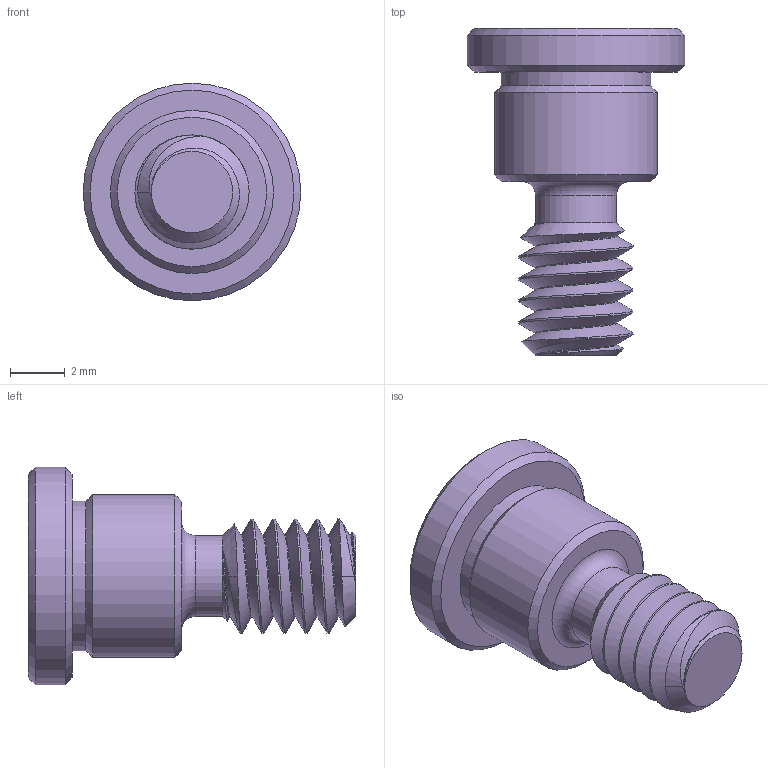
import cadquery as cq
import math


head_radius = 7.94 / 2
head_height = 1.59

edge_chamfer = 0.25
shoulder_radius = 5.953 / 2
undercut_radius = shoulder_radius - edge_chamfer
undercut_length = 0.5
shoulder_end = 4.0

neck_radius = 2.96 / 2
neck_fillet = 0.5
neck_length = 1.5

thread_radius = 4.166 / 2
thread_pitch = 25.4 / 32
thread_half_angle = math.radians(30)
root_clearance = 0.01
root_half_width = 0.02
root_radius = neck_radius + root_clearance
screw_length = 6.35
thread_chamfer = thread_radius - neck_radius
thread_start = shoulder_end + neck_length
thread_end = shoulder_end + screw_length

groove_lead_in = 1.18
groove_start = thread_end + groove_lead_in
groove_turns = 8
groove_overshoot = 0.06


def make_blank():
    """Turned body: head, undercut, shoulder, neck and unthreaded tip."""
    seam_angle = 180
    return (
        cq.Workplane("XY")
        .moveTo(0, head_height)
        .lineTo(head_radius - edge_chamfer, head_height)
        .lineTo(head_radius, head_height - edge_chamfer)
        .lineTo(head_radius, edge_chamfer)
        .lineTo(head_radius - edge_chamfer, 0)
        .lineTo(undercut_radius, 0)
        .lineTo(undercut_radius, -undercut_length)
        .lineTo(shoulder_radius, -undercut_length - edge_chamfer)
        .lineTo(shoulder_radius, -shoulder_end + edge_chamfer)
        .lineTo(shoulder_radius - edge_chamfer, -shoulder_end)
        .lineTo(neck_radius + neck_fillet, -shoulder_end)
        .radiusArc((neck_radius, -shoulder_end - neck_fillet), -neck_fillet)
        .lineTo(neck_radius, -thread_start)
        .lineTo(thread_radius, -thread_start - thread_chamfer)
        .lineTo(thread_radius, -thread_end + thread_chamfer)
        .lineTo(thread_radius - thread_chamfer, -thread_end)
        .lineTo(0, -thread_end)
        .close()
        .revolve(360, (0, 0, 0), (0, 1, 0))
        .rotate((0, 0, 0), (0, 1, 0), seam_angle)
    )


def make_groove_cutter():
    """Right-hand V groove that runs out past both ends of the thread."""
    mouth_radius = thread_radius + groove_overshoot
    mouth_half_width = root_half_width + (mouth_radius - root_radius) * math.tan(thread_half_angle)
    helix = cq.Wire.makeHelix(thread_pitch, groove_turns * thread_pitch, root_radius)
    groove = (
        cq.Workplane("XZ")
        .moveTo(root_radius, -root_half_width)
        .lineTo(root_radius, root_half_width)
        .lineTo(mouth_radius, mouth_half_width)
        .lineTo(mouth_radius, -mouth_half_width)
        .close()
        .sweep(cq.Workplane(helix), isFrenet=True)
    )
    z_to_y_angle = -90
    return groove.rotate((0, 0, 0), (1, 0, 0), z_to_y_angle).translate((0, -groove_start, 0))


result = make_blank().cut(make_groove_cutter())